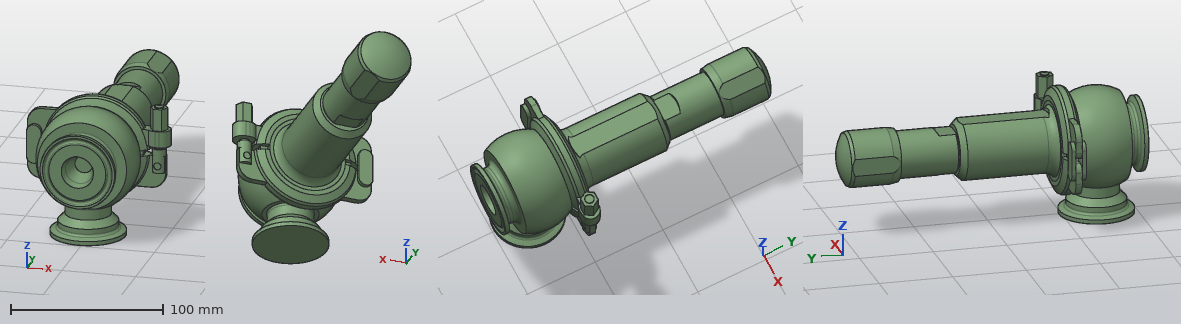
import cadquery as cq
import math


total_length = 205.0

ferrule_radius = 25.2
ferrule_rim = 2.9
ferrule_fillet_radius = 21.3
ferrule_fillet_end = 4.3
ferrule_tube_radius = 20.0
ferrule_tube_start = 6.2
groove_inner_radius = 19.3
groove_outer_radius = 23.5
groove_wall_offset = 0.92
groove_wall_depth = 0.6
groove_depth = 1.2

sphere_radius = 34.5
sphere_y = 29.1
inlet_face_y = 12.5
inlet_fillet_start = 8.5
inlet_fillet_radius = 23.4
inlet_mouth_radius = 10.9
throat_radius = 9.5
throat_depth = 5.7
seat_radius = 6.0
seat_depth = 17.5
outlet_bottom_z = -51.9
outlet_cut_z = -29.0
outlet_tube_radius = 15.4
outlet_collar_radius = 15.8
outlet_collar_z = -30.5
outlet_cone_top_z = -37.5
outlet_cone_bottom_z = -42.2

clamp_y = 53.0
clamp_half_width = 6.5
clamp_shoulder = 4.0
clamp_land = 2.15
clamp_face_radius = 30.0
clamp_shoulder_radius = 35.0
clamp_radius = 36.0
clamp_lip_radius = 26.6
flange_radius = 32.0
flange_half_width = 3.3
clamp_gap_half = 1.95

ear_half_thickness = 2.15
ear_reach = 46.7
ear_height = 24.2
ear_corner_radius = 9.6
pivot_radius = 5.0
pivot_z = 8.5
pin_radius = 2.5
link_half_thickness = 5.0
boss_x = 42.0
boss_radius = 6.45
boss_straight_half = 1.5
boss_bottom_z = 5.1
boss_top_z = 16.2
boss_neck_half_width = 4.0
bolt_radius = 3.0
bolt_top_z = 31.8
bolt_head_radius = 4.7
bolt_head_top_z = 3.0
nut_top_z = 31.2
nut_across_corners = 11.7

bonnet_radius = 20.8
bonnet_top_y = 125.7
bonnet_top_radius = 17.0
bonnet_chamfer_y = 121.5
bonnet_fillet_y = 66.8
bonnet_foot_radius = 24.0
bonnet_flat_z = 19.58
bonnet_flat_middle_y = 61.7
bonnet_flat_arc_radius = 19.7

neck_radius = 15.8
neck_chamfer = 1.0
neck_flat_z = 13.5
neck_flat_side_y = 137.8
neck_flat_middle_y = 139.5

cap_radius = 18.9
cap_bottom_y = 165.8
cap_bottom_radius = 17.8
cap_taper_y = 171.4
cap_shoulder_y = 197.5
cap_dome_y = 199.7
cap_dome_radius = 17.6
cap_flat_distance = 17.94
cap_flat_angles = (60, 180, 300)

clamp_front_y = clamp_y - clamp_half_width
clamp_back_y = clamp_y + clamp_half_width
pivot_x = ear_reach - pivot_radius


def turned(profile):
    """Solid of revolution about Y from a closed profile drawn in the XY plane."""
    return profile.close().revolve(360, (0, 0, 0), (0, 1, 0))


def disc(radius, start_y, end_y):
    return cq.Workplane("XZ", origin=(0, start_y, 0)).circle(radius).extrude(start_y - end_y)


def y_rod(x, z, radius, half_length):
    """Rod along Y, centred on the middle plane of the clamp."""
    return cq.Workplane("XZ", origin=(x, clamp_y, z)).circle(radius).extrude(half_length, both=True)


def box_between(x_range, y_range, z_range):
    spans = [(low, high - low) for low, high in (x_range, y_range, z_range)]
    sizes = [size for _, size in spans]
    corner = tuple(low for low, _ in spans)
    return cq.Workplane("XY", origin=corner).box(*sizes, centered=False)


def tangent_arc_middle(radius, end_radius, start, end):
    """Middle of a concave arc that leaves a cylinder tangentially and ends on a wider circle."""
    rise = end_radius - radius
    run = end - start
    arc_radius = (rise**2 + run**2) / (2 * rise)
    half_angle = math.asin(abs(run) / arc_radius) / 2
    along = math.copysign(arc_radius * math.sin(half_angle), run)
    return (radius + arc_radius * (1 - math.cos(half_angle)), start + along)


def flange_disc(end_y):
    """Half of the joint: a neck through the clamp lip and a flange that ends at the joint plane."""
    side = math.copysign(1, end_y - clamp_y)
    neck = disc(clamp_lip_radius, clamp_y, end_y)
    flange = disc(flange_radius, clamp_y, clamp_y + side * flange_half_width)
    return neck.union(flange)


def start_ferrule():
    """Profile of a ferrule, from the middle of its face to the start of its tube."""
    fillet_middle = tangent_arc_middle(
        ferrule_tube_radius, ferrule_fillet_radius, ferrule_tube_start, ferrule_fillet_end
    )
    return (
        cq.Workplane("XY")
        .moveTo(0, 0)
        .lineTo(ferrule_radius, 0)
        .lineTo(ferrule_radius, ferrule_rim)
        .lineTo(ferrule_fillet_radius, ferrule_fillet_end)
        .threePointArc(fillet_middle, (ferrule_tube_radius, ferrule_tube_start))
    )


def make_inlet():
    fillet_middle = tangent_arc_middle(
        ferrule_tube_radius, inlet_fillet_radius, inlet_fillet_start, inlet_face_y
    )
    ferrule = turned(
        start_ferrule()
        .lineTo(ferrule_tube_radius, inlet_fillet_start)
        .threePointArc(fillet_middle, (inlet_fillet_radius, inlet_face_y))
        .lineTo(inlet_fillet_radius, sphere_y)
        .lineTo(0, sphere_y)
    )
    groove = turned(
        cq.Workplane("XY")
        .moveTo(groove_inner_radius, 0)
        .lineTo(groove_inner_radius + groove_wall_offset, groove_wall_depth)
        .threePointArc(
            ((groove_inner_radius + groove_outer_radius) / 2, groove_depth),
            (groove_outer_radius - groove_wall_offset, groove_wall_depth),
        )
        .lineTo(groove_outer_radius, 0)
    )
    return ferrule.cut(groove)


def make_outlet():
    """The outlet is shaped along Y like the inlet, then turned to point down from the ball."""
    height = outlet_cut_z - outlet_bottom_z
    outlet = turned(
        start_ferrule()
        .lineTo(ferrule_tube_radius, outlet_cone_bottom_z - outlet_bottom_z)
        .lineTo(outlet_tube_radius, outlet_cone_top_z - outlet_bottom_z)
        .lineTo(outlet_tube_radius, outlet_collar_z - outlet_bottom_z)
        .lineTo(outlet_collar_radius, height)
        .lineTo(0, height)
    )
    upright = outlet.rotate((0, 0, 0), (1, 0, 0), 90)
    return upright.translate((0, sphere_y, outlet_bottom_z))


def make_bore():
    return turned(
        cq.Workplane("XY")
        .moveTo(0, 0)
        .lineTo(inlet_mouth_radius, 0)
        .lineTo(throat_radius, throat_depth)
        .lineTo(seat_radius, seat_depth)
        .lineTo(0, seat_depth)
    )


def make_ball():
    """Ball cut flat at the inlet, at the clamp and underneath."""
    front_radius = math.sqrt(sphere_radius**2 - (sphere_y - inlet_face_y) ** 2)
    back_radius = math.sqrt(sphere_radius**2 - (clamp_front_y - sphere_y) ** 2)
    ball = turned(
        cq.Workplane("XY")
        .moveTo(0, inlet_face_y)
        .lineTo(front_radius, inlet_face_y)
        .threePointArc((sphere_radius, sphere_y), (back_radius, clamp_front_y))
        .lineTo(0, clamp_front_y)
    )
    underside = box_between(
        (-sphere_radius, sphere_radius),
        (inlet_face_y, clamp_front_y),
        (-sphere_radius, outlet_cut_z),
    )
    return ball.cut(underside)


def make_body():
    joint = flange_disc(clamp_front_y)
    return make_ball().union(joint).union(make_inlet()).union(make_outlet()).cut(make_bore())


def make_bonnet():
    fillet_middle = tangent_arc_middle(
        bonnet_radius, bonnet_foot_radius, bonnet_fillet_y, clamp_back_y
    )
    tube = turned(
        cq.Workplane("XY")
        .moveTo(0, clamp_back_y)
        .lineTo(bonnet_foot_radius, clamp_back_y)
        .threePointArc(fillet_middle, (bonnet_radius, bonnet_fillet_y))
        .lineTo(bonnet_radius, bonnet_chamfer_y)
        .lineTo(bonnet_top_radius, bonnet_top_y)
        .lineTo(0, bonnet_top_y)
    )
    nameplate_flat = (
        cq.Workplane("XY", origin=(0, 0, bonnet_flat_z))
        .moveTo(-bonnet_flat_arc_radius, bonnet_top_y)
        .lineTo(-bonnet_flat_arc_radius, bonnet_flat_middle_y + bonnet_flat_arc_radius)
        .threePointArc(
            (0, bonnet_flat_middle_y),
            (bonnet_flat_arc_radius, bonnet_flat_middle_y + bonnet_flat_arc_radius),
        )
        .lineTo(bonnet_flat_arc_radius, bonnet_top_y)
        .close()
        .extrude(bonnet_foot_radius - bonnet_flat_z)
    )
    return tube.cut(nameplate_flat).union(flange_disc(clamp_back_y))


def make_neck():
    rod = disc(neck_radius, bonnet_top_y, cap_bottom_y).faces("<Y").chamfer(neck_chamfer)
    flat_half_width = math.sqrt(neck_radius**2 - neck_flat_z**2)
    flat = (
        cq.Workplane("XY", origin=(0, 0, neck_flat_z))
        .moveTo(-flat_half_width, bonnet_top_y)
        .lineTo(-flat_half_width, neck_flat_side_y)
        .threePointArc((0, neck_flat_middle_y), (flat_half_width, neck_flat_side_y))
        .lineTo(flat_half_width, bonnet_top_y)
        .close()
        .extrude(neck_radius)
    )
    return rod.cut(flat).cut(flat.mirror("XY"))


def make_cap():
    dome_rise = total_length - cap_dome_y
    dome_sphere = (cap_dome_radius**2 + dome_rise**2) / (2 * dome_rise)
    half_angle = math.asin(cap_dome_radius / dome_sphere) / 2
    dome_middle = (
        dome_sphere * math.sin(half_angle),
        total_length - dome_sphere * (1 - math.cos(half_angle)),
    )
    cap = turned(
        cq.Workplane("XY")
        .moveTo(0, cap_bottom_y)
        .lineTo(cap_bottom_radius, cap_bottom_y)
        .lineTo(cap_radius, cap_taper_y)
        .lineTo(cap_radius, cap_shoulder_y)
        .lineTo(cap_dome_radius, cap_dome_y)
        .threePointArc(dome_middle, (0, total_length))
    )
    flat = box_between(
        (cap_flat_distance, 2 * cap_radius),
        (cap_bottom_y, total_length),
        (-cap_radius, cap_radius),
    )
    for angle in cap_flat_angles:
        cap = cap.cut(flat.rotate((0, 0, 0), (0, 1, 0), -angle))
    return cap


def make_half_ring():
    """Upper half of the clamp ring, before the room for the flanges is removed."""
    ring = turned(
        cq.Workplane("XY")
        .moveTo(0, clamp_front_y)
        .lineTo(clamp_face_radius, clamp_front_y)
        .lineTo(clamp_shoulder_radius, clamp_y - clamp_shoulder)
        .lineTo(clamp_radius, clamp_y - clamp_land)
        .lineTo(clamp_radius, clamp_y + clamp_land)
        .lineTo(clamp_shoulder_radius, clamp_y + clamp_shoulder)
        .lineTo(clamp_face_radius, clamp_back_y)
        .lineTo(0, clamp_back_y)
    )
    upper = box_between(
        (-clamp_radius, clamp_radius),
        (clamp_front_y, clamp_back_y),
        (clamp_gap_half, clamp_radius),
    )
    return ring.intersect(upper)


def hollowed(shape):
    """Removes the room that the two joined flanges take up."""
    return shape.cut(flange_disc(clamp_front_y)).cut(flange_disc(clamp_back_y))


def make_ear():
    """Plate on the -X side above the gap, with a rounded outer corner and a pivot hole."""
    plate = box_between(
        (-ear_reach, 0),
        (clamp_y - ear_half_thickness, clamp_y + ear_half_thickness),
        (clamp_gap_half, ear_height),
    )
    plate = plate.edges("|Y and <X and >Z").fillet(ear_corner_radius)
    return plate.cut(y_rod(-pivot_x, pivot_z, pin_radius, ear_half_thickness))


def make_hinge_ear():
    """Ear that is also rounded next to the gap, so that it can turn on its pin."""
    return make_ear().edges("|Y and <X and <Z").fillet(pivot_radius)


def make_boss():
    """Rounded boss on the +X side that the bolt passes through."""
    height = boss_top_z - boss_bottom_z
    boss = (
        cq.Workplane("XY", origin=(boss_x, clamp_y, boss_bottom_z))
        .slot2D(2 * (boss_straight_half + boss_radius), 2 * boss_radius)
        .extrude(height)
    )
    neck = box_between(
        (0, boss_x),
        (clamp_y - boss_neck_half_width, clamp_y + boss_neck_half_width),
        (boss_bottom_z, boss_top_z),
    )
    shank_hole = (
        cq.Workplane("XY", origin=(boss_x, clamp_y, boss_bottom_z)).circle(bolt_radius).extrude(height)
    )
    return boss.union(neck).cut(shank_hole)


def make_upper_clamp():
    return hollowed(make_half_ring().union(make_hinge_ear()).union(make_boss()))


def make_lower_clamp():
    """Half with an ear on each side, shaped above the gap and then mirrored to lie below it."""
    bolt_ear = make_ear().mirror("YZ")
    half = make_half_ring().union(make_hinge_ear()).union(bolt_ear)
    return hollowed(half).mirror("XY")


def make_link():
    """Two side plates joined by the two pins on which the clamp ears turn."""
    link = (
        cq.Workplane("XZ", origin=(-pivot_x, clamp_y, 0))
        .slot2D(2 * (pivot_z + pivot_radius), 2 * pivot_radius, 90)
        .extrude(link_half_thickness, both=True)
    )
    ear_space = box_between(
        (-pivot_x - pivot_radius, -pivot_x + pivot_radius),
        (clamp_y - ear_half_thickness, clamp_y + ear_half_thickness),
        (-pivot_z - pivot_radius, pivot_z + pivot_radius),
    )
    link = link.cut(ear_space)
    for z in (-pivot_z, pivot_z):
        link = link.union(y_rod(-pivot_x, z, pin_radius, link_half_thickness))
    return link


def make_bolt():
    """Swing bolt with a forked head that straddles the lower ear."""
    head_bottom_z = -pivot_z - pivot_radius
    base = cq.Workplane("XY", origin=(boss_x, clamp_y, head_bottom_z))
    head = base.circle(bolt_head_radius).extrude(bolt_head_top_z - head_bottom_z)
    shank = base.circle(bolt_radius).extrude(bolt_top_z - head_bottom_z)
    fork_slot = box_between(
        (boss_x - bolt_head_radius, boss_x + bolt_head_radius),
        (clamp_y - ear_half_thickness, clamp_y + ear_half_thickness),
        (head_bottom_z, -clamp_gap_half),
    )
    return head.union(shank).cut(fork_slot).cut(make_pin())


def make_nut():
    return (
        cq.Workplane("XY", origin=(boss_x, clamp_y, boss_top_z))
        .polygon(6, nut_across_corners)
        .circle(bolt_radius)
        .extrude(nut_top_z - boss_top_z)
    )


def make_pin():
    return y_rod(pivot_x, -pivot_z, pin_radius, bolt_head_radius)


body = make_body()
bonnet = make_bonnet()
neck = make_neck()
cap = make_cap()
upper_clamp = make_upper_clamp()
lower_clamp = make_lower_clamp()
link = make_link()
bolt = make_bolt()
nut = make_nut()
pin = make_pin()

result = cq.Compound.makeCompound(
    [
        body.val(),
        bonnet.val(),
        neck.val(),
        cap.val(),
        upper_clamp.val(),
        lower_clamp.val(),
        link.val(),
        bolt.val(),
        nut.val(),
        pin.val(),
    ]
)